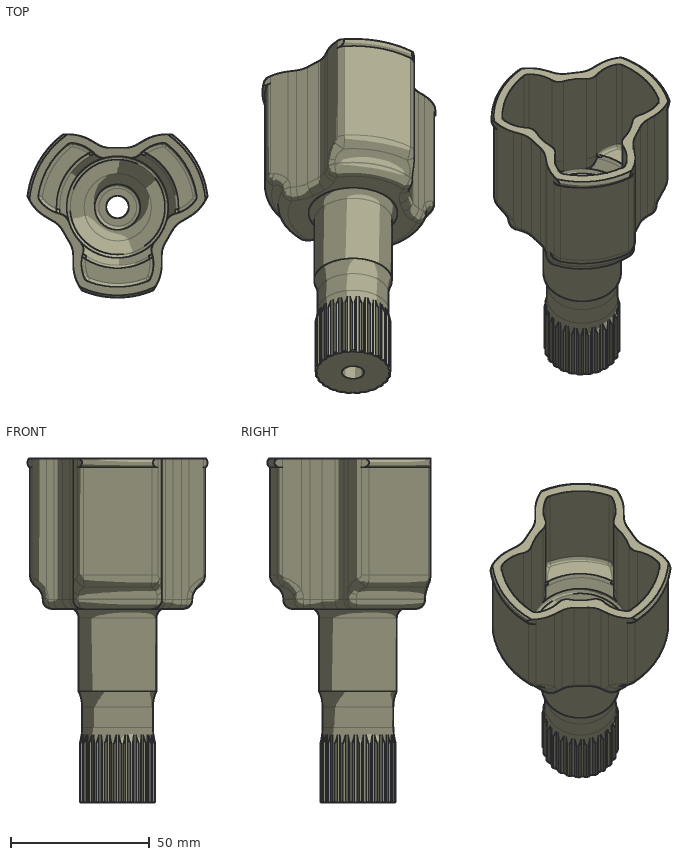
import cadquery as cq
import math

TOTAL_HEIGHT = 123.97
LOBE_COUNT = 3
LOBE_ANGLE = -90.0
LOBE_PITCH = 360.0 / LOBE_COUNT

LOBE_TIP_RADIUS = 31.8
LOBE_SIDE_RADIUS = 16.0
LOBE_CENTRE = 20.42
VALLEY_DISTANCE = 21.35
VALLEY_HALF_WIDTH = 2.66
WALL = 3.0
OUTER_CORNER_RADIUS = 4.0
INNER_CORNER_RADIUS = 2.5
INNER_HOLLOW_RADIUS = 4.0

CUP_BOTTOM = 69.7
CUP_BASE_FILLET = 3.5
NECK_RADIUS = 27.0
NECK_TOP = 73.4
SHOULDER_TOP = 82.0
LOBE_FLOOR = 80.0
LOBE_FLOOR_FILLET = 1.4

BEAD_RADIUS = 32.68
BEAD_HEIGHT = 3.15

SHAFT_RADIUS = 14.05
SHAFT_TOP = 66.5
SHAFT_BOTTOM = 40.2
SHAFT_FLARE_RADIUS = 16.0
RELIEF_RADIUS = 12.8
RELIEF_TOP = 34.5
RELIEF_BOTTOM = 27.2

SPLINE_TEETH = 25
SPLINE_RADIUS = 13.65
SPLINE_TOP = 21.3
SPLINE_DEPTH = 0.65
SPLINE_FLOOR_WIDTH = 1.0
SPLINE_MOUTH_WIDTH = 2.7
SPLINE_END_CHAMFER = 0.4

BORE_RADIUS = 4.0
POCKET_RADIUS = 8.2
POCKET_FLOOR = 60.0
POCKET_FLOOR_FILLET = 1.4
POCKET_WALL_TOP = 64.8
FUNNEL_INNER_RADIUS = 12.1
FUNNEL_INNER_HEIGHT = 71.6
FUNNEL_OUTER_RADIUS = 17.1
FUNNEL_OUTER_HEIGHT = 74.5
WELL_RADIUS = 18.3
WELL_BOTTOM = 75.8
STEP_LOWER_RADIUS = 20.9
STEP_UPPER_RADIUS = 22.0
STEP_BEVEL_DROP = 0.8

TOLERANCE = 0.01


def round_uprights(solid, distance, radius):
    """Fillet the sharp upright edges that stand at `distance` from the axis."""
    uprights = []
    for edge in solid.edges("|Z").vals():
        centre = edge.Center()
        corner = math.atan2(centre.y, centre.x) - math.radians(LOBE_ANGLE)
        on_lobe_axis = abs(math.sin(LOBE_COUNT * corner)) < TOLERANCE
        if abs(math.hypot(centre.x, centre.y) - distance) < TOLERANCE and not on_lobe_axis:
            uprights.append(edge)
    return solid.newObject(uprights).fillet(radius)


def lobe_point(lobe, across, along):
    """Point `along` the centre line of lobe number `lobe` and `across` to its left."""
    a = math.radians(LOBE_ANGLE + lobe * LOBE_PITCH)
    return (along * math.cos(a) - across * math.sin(a), along * math.sin(a) + across * math.cos(a))


def cup_outline(tip, bottom):
    """Prism of the three-lobed outer outline, tips at radius `tip`, from `bottom` to the open end."""
    side = LOBE_SIDE_RADIUS
    valley = VALLEY_DISTANCE
    half_turn = math.pi / LOBE_COUNT

    flat_across = valley * math.sin(half_turn) - VALLEY_HALF_WIDTH * math.cos(half_turn)
    flat_along = valley * math.cos(half_turn) + VALLEY_HALF_WIDTH * math.sin(half_turn)

    turn = math.pi / 2 - half_turn
    hollow = (flat_across - side) / (1 - math.cos(turn))
    hollow_end = flat_along + hollow * math.sin(turn)
    hollow_across = side + hollow * (1 - math.cos(turn / 2))
    hollow_mid = hollow_end - hollow * math.sin(turn / 2)

    corner_along = (tip**2 - side**2 + LOBE_CENTRE**2) / (2 * LOBE_CENTRE)
    corner_across = math.sqrt(tip**2 - corner_along**2)
    bulge = math.atan2(corner_along - LOBE_CENTRE, corner_across) / 2
    bulge_across = side * math.cos(bulge)
    bulge_mid = LOBE_CENTRE + side * math.sin(bulge)

    path = cq.Workplane("XY").moveTo(*lobe_point(0, -flat_across, flat_along))
    for lobe in range(LOBE_COUNT):
        if lobe > 0:
            path = path.lineTo(*lobe_point(lobe, -flat_across, flat_along))
        path = (
            path
            .threePointArc(lobe_point(lobe, -hollow_across, hollow_mid), lobe_point(lobe, -side, hollow_end))
            .lineTo(*lobe_point(lobe, -side, LOBE_CENTRE))
            .threePointArc(
                lobe_point(lobe, -bulge_across, bulge_mid), lobe_point(lobe, -corner_across, corner_along)
            )
            .threePointArc(lobe_point(lobe, 0, tip), lobe_point(lobe, corner_across, corner_along))
            .threePointArc(lobe_point(lobe, bulge_across, bulge_mid), lobe_point(lobe, side, LOBE_CENTRE))
            .lineTo(*lobe_point(lobe, side, hollow_end))
            .threePointArc(
                lobe_point(lobe, hollow_across, hollow_mid), lobe_point(lobe, flat_across, flat_along)
            )
        )
    return path.close().extrude(TOTAL_HEIGHT - bottom).translate((0, 0, bottom))


def cavity_outline(bottom):
    """Prism of the hollow: a round well joined to three round lobes, from `bottom` to the open end."""
    height = TOTAL_HEIGHT - bottom
    base = cq.Workplane("XY").workplane(offset=bottom)
    tip = LOBE_TIP_RADIUS - WALL
    lobes = base.polarArray(LOBE_CENTRE, LOBE_ANGLE, 360, LOBE_COUNT).circle(LOBE_SIDE_RADIUS - WALL)
    lobes = lobes.extrude(height).intersect(base.circle(tip).extrude(height))
    prism = base.circle(WELL_RADIUS).extrude(height).union(lobes)
    prism = round_uprights(prism, WELL_RADIUS, INNER_HOLLOW_RADIUS)
    return round_uprights(prism, tip, INNER_CORNER_RADIUS)


def spin(profile):
    """Revolve a closed (radius, height) profile, drawn on the -Y side, about Z."""
    return profile.close().revolve(360, (0, 0, 0), (0, 1, 0))


def half_section():
    """Sketch plane holding the axis, with x as the radius toward -Y and y as the height."""
    return cq.Workplane(cq.Plane((0, 0, 0), xDir=(0, -1, 0), normal=(-1, 0, 0)))


def arc_mid(start, end, tangent_at_end):
    """Midpoint of an arc between two points that runs parallel to the axis at one of them."""
    fixed, free = (end, start) if tangent_at_end else (start, end)
    dr = free[0] - fixed[0]
    dz = free[1] - fixed[1]
    radius = (dr**2 + dz**2) / (2 * abs(dr))
    half = math.asin(abs(dz) / radius) / 2
    return (
        fixed[0] + math.copysign(radius * (1 - math.cos(half)), dr),
        fixed[1] + math.copysign(radius * math.sin(half), dz),
    )


def cup_body():
    """Solid cup, drawn in below each lobe by an S-shaped shoulder."""
    body = cup_outline(LOBE_TIP_RADIUS, CUP_BOTTOM)
    outside = 2 * LOBE_TIP_RADIUS
    low = (NECK_RADIUS, NECK_TOP)
    high = (LOBE_TIP_RADIUS, SHOULDER_TOP)
    middle = ((low[0] + high[0]) / 2, (low[1] + high[1]) / 2)
    envelope = spin(
        half_section().moveTo(0, CUP_BOTTOM).lineTo(NECK_RADIUS, CUP_BOTTOM).lineTo(*low)
        .threePointArc(arc_mid(low, middle, False), middle)
        .threePointArc(arc_mid(middle, high, True), high)
        .lineTo(outside, SHOULDER_TOP).lineTo(outside, TOTAL_HEIGHT).lineTo(0, TOTAL_HEIGHT)
    )
    body = body.intersect(envelope)
    body = round_uprights(body, LOBE_TIP_RADIUS, OUTER_CORNER_RADIUS)
    return body.faces("<Z").edges().fillet(CUP_BASE_FILLET)


def rim_bead():
    """Rounded bead along the open end of each lobe tip."""
    bottom = TOTAL_HEIGHT - BEAD_HEIGHT
    ring = spin(
        half_section().moveTo(0, bottom).lineTo(LOBE_TIP_RADIUS, bottom)
        .threePointArc((BEAD_RADIUS, TOTAL_HEIGHT - BEAD_HEIGHT / 2), (LOBE_TIP_RADIUS, TOTAL_HEIGHT))
        .lineTo(0, TOTAL_HEIGHT)
    )
    return ring.intersect(cup_outline(BEAD_RADIUS, bottom))


def shaft():
    """Stepped shaft with flared transitions, solid and without spline grooves."""
    flare = (SHAFT_FLARE_RADIUS, CUP_BOTTOM)
    top = (SHAFT_RADIUS, SHAFT_TOP)
    shaft_end = (SHAFT_RADIUS, SHAFT_BOTTOM)
    relief_top = (RELIEF_RADIUS, RELIEF_TOP)
    relief_bottom = (RELIEF_RADIUS, RELIEF_BOTTOM)
    spline_top = (SPLINE_RADIUS, SPLINE_TOP)
    inside_cup = CUP_BOTTOM + WALL
    return spin(
        half_section().moveTo(0, inside_cup).lineTo(SHAFT_FLARE_RADIUS, inside_cup).lineTo(*flare)
        .threePointArc(arc_mid(flare, top, True), top).lineTo(*shaft_end)
        .threePointArc(arc_mid(shaft_end, relief_top, True), relief_top).lineTo(*relief_bottom)
        .threePointArc(arc_mid(relief_bottom, spline_top, False), spline_top)
        .lineTo(SPLINE_RADIUS, SPLINE_END_CHAMFER).lineTo(SPLINE_RADIUS - SPLINE_END_CHAMFER, 0)
        .lineTo(0, 0)
    )


def spline_grooves():
    """Straight grooves between the teeth, running out into the flare above them."""
    floor = SPLINE_RADIUS - SPLINE_DEPTH
    widening = (SPLINE_MOUTH_WIDTH - SPLINE_FLOOR_WIDTH) / SPLINE_DEPTH
    outer = SPLINE_RADIUS + SPLINE_DEPTH
    outer_width = SPLINE_FLOOR_WIDTH + widening * (outer - floor)
    groove = (
        cq.Workplane("XY")
        .moveTo(-SPLINE_FLOOR_WIDTH / 2, -floor).lineTo(SPLINE_FLOOR_WIDTH / 2, -floor)
        .lineTo(outer_width / 2, -outer).lineTo(-outer_width / 2, -outer).close()
        .extrude(RELIEF_BOTTOM).val()
    )
    grooves = cq.Workplane("XY")
    for i in range(SPLINE_TEETH):
        grooves = grooves.add(groove.rotate((0, 0, 0), (0, 0, 1), i * 360.0 / SPLINE_TEETH))
    return cq.Workplane(cq.Compound.makeCompound(grooves.vals()))


def lobe_cavity():
    """Three-lobed hollow above the lobe floors."""
    return cavity_outline(LOBE_FLOOR).faces("<Z").edges().fillet(LOBE_FLOOR_FILLET)


def centre_cavity():
    """Stepped and funnelled hollow on the axis, ending in the through bore."""
    pocket_bottom = (POCKET_RADIUS - POCKET_FLOOR_FILLET, POCKET_FLOOR)
    pocket_side = (POCKET_RADIUS, POCKET_FLOOR + POCKET_FLOOR_FILLET)
    pocket_top = (POCKET_RADIUS, POCKET_WALL_TOP)
    funnel_inner = (FUNNEL_INNER_RADIUS, FUNNEL_INNER_HEIGHT)
    funnel_outer = (FUNNEL_OUTER_RADIUS, FUNNEL_OUTER_HEIGHT)
    well_bottom = (WELL_RADIUS, WELL_BOTTOM)
    hollow = spin(
        half_section().moveTo(0, 0).lineTo(BORE_RADIUS, 0).lineTo(BORE_RADIUS, POCKET_FLOOR)
        .lineTo(*pocket_bottom)
        .threePointArc(arc_mid(pocket_bottom, pocket_side, True), pocket_side).lineTo(*pocket_top)
        .threePointArc(arc_mid(pocket_top, funnel_inner, False), funnel_inner).lineTo(*funnel_outer)
        .threePointArc(arc_mid(funnel_outer, well_bottom, True), well_bottom)
        .lineTo(STEP_LOWER_RADIUS, LOBE_FLOOR - STEP_BEVEL_DROP)
        .lineTo(STEP_UPPER_RADIUS, LOBE_FLOOR)
        .lineTo(STEP_LOWER_RADIUS, LOBE_FLOOR)
        .lineTo(STEP_LOWER_RADIUS, LOBE_FLOOR + LOBE_FLOOR_FILLET)
        .lineTo(0, LOBE_FLOOR + LOBE_FLOOR_FILLET)
    )
    return hollow.intersect(cavity_outline(0))


result = (
    cup_body()
    .union(rim_bead())
    .union(shaft())
    .cut(spline_grooves())
    .cut(lobe_cavity())
    .cut(centre_cavity())
)